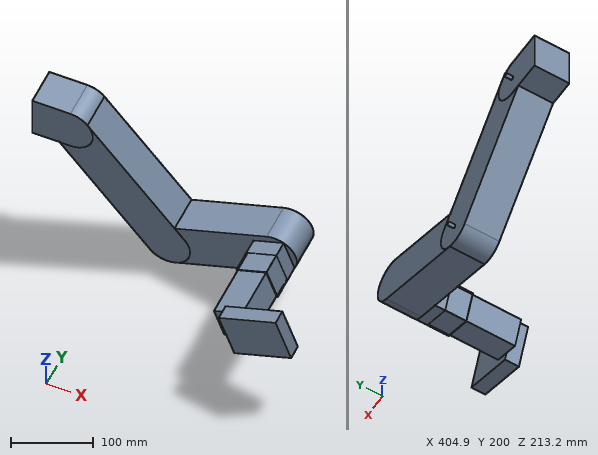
import cadquery as cq
import math

arm_depth = 50.0
joint_radius = 30.0
base_length = 50.0
upper_arm_length = 200.0
forearm_length = 150.0

upper_arm_angle = -50.0
forearm_angle = 20.0

pin_radius = 2.5
pin_length = 10.0

guide_side = joint_radius * math.sqrt(2)
guide_length = 50.0

bar_side = 40.0
bar_length = 100.0
bar_insertion = 30.0
plate_length = 80.0
plate_width = 2 * joint_radius
plate_thickness = 20.0

arm_back = 0.0
arm_front = arm_back - arm_depth
guide_front = arm_front - guide_length
bar_back = guide_front + bar_insertion
bar_front = bar_back - bar_length


def along(start, angle, length):
    """Point in the XZ plane at a distance and angle from a start point."""
    direction = math.radians(angle)
    return (start[0] + length * math.cos(direction), start[1] + length * math.sin(direction))


shoulder = (base_length, 0.0)
elbow = along(shoulder, upper_arm_angle, upper_arm_length)
wrist = along(elbow, forearm_angle, forearm_length)


def plane_at(point, y, angle=0.0):
    """Workplane facing -Y at an XZ point, turned by an angle about Y."""
    return cq.Workplane("XZ", origin=(point[0], y, point[1])).transformed(rotate=(0, 0, angle))


def make_link(start, angle, length):
    """Flat link with a rounded end about each joint axis."""
    overall_length = length + 2 * joint_radius
    return (
        plane_at(start, arm_back, angle)
        .center(length / 2, 0)
        .slot2D(overall_length, 2 * joint_radius)
        .extrude(arm_depth)
    )


def make_pin(joint):
    """Pin standing out behind the arm on a joint axis."""
    return plane_at(joint, arm_back + pin_length).circle(pin_radius).extrude(pin_length)


base = (
    cq.Workplane("XZ", origin=(0, arm_back, 0))
    .moveTo(0, joint_radius)
    .lineTo(base_length, joint_radius)
    .threePointArc((base_length + joint_radius, 0), (base_length, -joint_radius))
    .lineTo(0, -joint_radius)
    .close()
    .extrude(arm_depth)
    .union(make_pin(shoulder))
)

upper_arm = make_link(shoulder, upper_arm_angle, upper_arm_length).cut(base).union(make_pin(elbow))

bar = plane_at(wrist, bar_back, forearm_angle).rect(bar_side, bar_side).extrude(bar_length)
plate = (
    plane_at(wrist, bar_front, forearm_angle)
    .center(plate_length / 2, 0)
    .rect(plate_length, plate_width)
    .extrude(plate_thickness)
)
slider = bar.union(plate)

guide = plane_at(wrist, arm_front, forearm_angle).rect(guide_side, guide_side).extrude(guide_length)
forearm = make_link(elbow, forearm_angle, forearm_length).cut(upper_arm).union(guide).cut(slider)

result = cq.Compound.makeCompound(
    [
        *base.vals(),
        *upper_arm.vals(),
        *forearm.vals(),
        *slider.vals(),
    ]
)